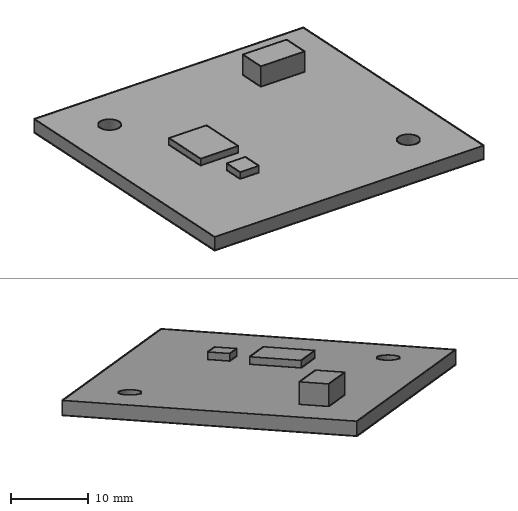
import cadquery as cq

BOARD_LENGTH = 40.0
BOARD_WIDTH = 43.0
BOARD_THICKNESS = 2.0

HOLE_DIAMETER = 3.0
HOLE_INSET = 7.0
HOLE_CENTERS = [
    (HOLE_INSET, HOLE_INSET),
    (BOARD_LENGTH - HOLE_INSET, BOARD_WIDTH - HOLE_INSET),
]

CHIP_HEIGHT = 1.0
CONNECTOR_HEIGHT = 3.0
CONNECTOR_CORNER = (6.0, 29.0)
CONNECTOR_SIZE = (4.0, 7.0, CONNECTOR_HEIGHT)
LARGE_CHIP_CORNER = (16.0, 10.0)
LARGE_CHIP_SIZE = (7.0, 6.0, CHIP_HEIGHT)
SMALL_CHIP_CORNER = (26.0, 12.0)
SMALL_CHIP_SIZE = (3.0, 3.0, CHIP_HEIGHT)


def make_board():
    """Flat rectangular board with its mounting holes."""
    board = cq.Workplane("XY").box(BOARD_LENGTH, BOARD_WIDTH, BOARD_THICKNESS, centered=False)
    holes = (
        cq.Workplane("XY")
        .pushPoints(HOLE_CENTERS)
        .circle(HOLE_DIAMETER / 2)
        .extrude(BOARD_THICKNESS)
    )
    return board.cut(holes)


def make_component(corner, size):
    """Rectangular component standing on the top face of the board."""
    x, y = corner
    return cq.Workplane("XY").box(*size, centered=False).translate((x, y, BOARD_THICKNESS))


result = make_board()
for component_corner, component_size in [
    (CONNECTOR_CORNER, CONNECTOR_SIZE),
    (LARGE_CHIP_CORNER, LARGE_CHIP_SIZE),
    (SMALL_CHIP_CORNER, SMALL_CHIP_SIZE),
]:
    result = result.union(make_component(component_corner, component_size))